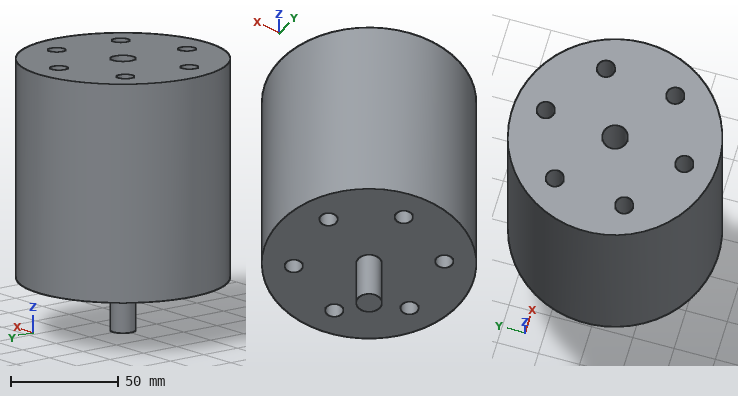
import cadquery as cq

total_height = 130.4
housing_diameter = 100.0
housing_height = 105.0
shaft_diameter = 12.0
shaft_engagement = 52.5
hole_diameter = 8.5
hole_count = 6
hole_circle_radius = 35.1
first_hole_angle = 23.0

shaft_protrusion = total_height - housing_height
shaft_length = shaft_protrusion + shaft_engagement


def make_housing():
    """Cylinder with a central through bore and a ring of through holes."""
    body = (
        cq.Workplane("XY")
        .workplane(offset=shaft_protrusion)
        .circle(housing_diameter / 2)
        .extrude(housing_height)
    )
    body = body.faces(">Z").workplane().hole(shaft_diameter)
    return (
        body.faces(">Z")
        .workplane()
        .polarArray(hole_circle_radius, first_hole_angle, 360, hole_count)
        .hole(hole_diameter)
    )


def make_shaft():
    """Plain round shaft that fills the lower part of the bore."""
    return cq.Workplane("XY").circle(shaft_diameter / 2).extrude(shaft_length)


housing = make_housing()
shaft = make_shaft()

result = cq.Compound.makeCompound([housing.val(), shaft.val()])